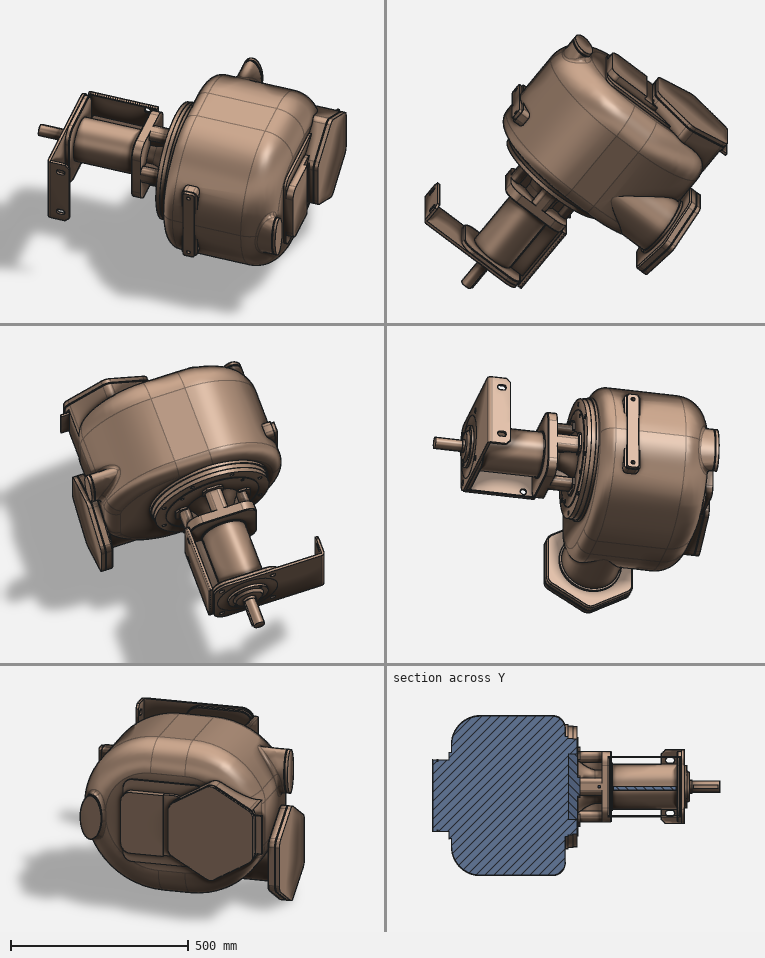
import cadquery as cq
import math


case_front = 435.0
case_rear = 756.5
case_top = 201.0
case_bottom = -251.0
case_side = 298.5
case_top_flat = (-14.0, 87.0)
case_widest_z = -14.0
case_corner = 82.0
front_round = 36.5
rear_round = 82.0
case_mid_z = (case_top + case_bottom) / 2

hex_apothem = 124.5
hex_corner = 26.0
flange_plate = 12.0
joint_gap = 2.5
joint_inset = 3.0
flange_back_chamfer = 4.0
outlet_end = 332.5
outlet_x = 521.0
outlet_z = -165.0
outlet_root = 297.0
outlet_neck_radius = 84.0
outlet_collar = 90.0
outlet_collar_length = 8.0
inlet_end = 809.0
inlet_y = 177.0
inlet_neck_trim = 6.5
inlet_tab_start = 776.0
inlet_tab_thickness = 6.5
inlet_tab_edge = 320.0
inlet_tab_height = 113.0

oval_length = 129.5
oval_width = 61.5
oval_cap = 9.0
oval_blend = 12.0
filler_end = 328.5
filler_z = 79.0
drain_end = 773.0
drain_y = -185.0

cover_size = 181.0
cover_corner = 27.5
cover_y = -2.5
cover_base = 19.5
cover_step = 9.0
cover_step_edge = 31.0

land_height = 7.0
land_y = (-93.0, 146.0)
land_half_z = 122.0

pad_face = -230.5
pad_x = 520.0
pad_z = -17.0
pad_length = 232.0
pad_width = 33.0
pad_skirt_side = 6.5
pad_skirt_end = 2.5
pad_skirt_face = -221.0
pad_hole_spacing = 202.0
pad_hole_radius = 5.25
pad_hole_depth = 16.0

ring_front = 402.0
ring_radius = 170.0
ring_split_x = 414.0
ring_back_radius = 171.5
ring_root_x = 427.0
ring_root_radius = 175.5
ring_bolt_circle = 154.5
ring_bolt_radius = 6.0
ring_bolt_depth = 12.0

adapter_front = 400.0
adapter_radius = 138.0
adapter_depth = 24.0
adapter_bolt_circle = 127.0
adapter_bolt_radius = 5.0
adapter_bolt_depth = 12.0
square_half = 99.5
square_corner = 40.0
front_flange = (108.0, 120.5)
rear_flange = (305.0, 332.5)
barrel_radius = 64.0
barrel_bead = 3.0
flange_edge_chamfer = 2.5
neck_radius = 48.5
neck_flare = 77.0
neck_straight_end = 352.0
strut_width = 48.5
strut_round = 14.0
strut_inner = 69.0
strut_web_width = 23.0
strut_root = 12.0
pilot_radius = 90.0
cap_radius = 60.0
cap_front = 93.0
cap_bolt_circle = 52.5
cap_bolt_radius = 4.0
hub_front = 85.0
hub_radii = (40.0, 45.0)
collar_front = 78.0
collar_radius = 19.0
shaft_radius = 16.0
key_span = (5.0, 74.5)
key_width = 10.0
key_top = 19.5
nipple_x = 340.0
nipple_radius = 4.0
nipple_top = 107.0

foot_thickness = 7.7
foot_half_width = 104.0
foot_bottom = -231.0
foot_front = front_flange[0] - foot_thickness
foot_leg_end = 165.0
foot_bend = 10.5
foot_leg_chamfer = 12.0
foot_slot_x = 140.0
foot_slot_z = 74.5
foot_slot_length = 25.0
foot_slot_width = 16.0
foot_bolt_offset = 76.0
foot_bolt_radius = 7.7

guard_span = (110.0, 315.0)
guard_half_height = 85.0
guard_outer = 112.5
guard_sheet = 6.0
guard_rim = 3.0
guard_rib_clearance = 2.0
guard_rib_thickness = 11.0
guard_rib_z = -5.0
guard_edge_round = 4.0
guard_hole_x = 283.0
guard_hole_z = 65.0
guard_hole_radius = 9.0


def disc(x_start, x_end, radius):
    """Cylinder on the shaft axis."""
    return cq.Workplane("YZ", origin=(x_start, 0, 0)).circle(radius).extrude(x_end - x_start)


def box(x_range, y_range, z_range):
    """Box given by its limits on each axis."""
    size = [high - low for low, high in (x_range, y_range, z_range)]
    low_corner = (x_range[0], y_range[0], z_range[0])
    return cq.Workplane("XY").box(*size, centered=False).translate(low_corner)


def bolt_circle(x_start, x_end, radius, circle_radius, count, first_angle):
    """Cylinders along X, spread evenly around the shaft axis."""
    return (
        cq.Workplane("YZ", origin=(x_start, 0, 0))
        .polarArray(circle_radius, first_angle, 360, count)
        .circle(radius)
        .extrude(x_end - x_start)
    )


def square_plate(x_range):
    """Square flange with rounded corners, centred on the shaft."""
    side = 2 * square_half
    return (
        cq.Workplane("YZ", origin=(x_range[0], 0, 0))
        .rect(side, side)
        .extrude(x_range[1] - x_range[0])
        .edges("|X")
        .fillet(square_corner)
    )


def hex_points(apothem):
    """Corners of a regular hexagon with one corner pointing straight up."""
    radius = apothem / math.cos(math.pi / 6)
    angles = [math.pi / 2 + i * math.pi / 3 for i in range(6)]
    return [(radius * math.cos(a), radius * math.sin(a)) for a in angles]


def hex_prism(plane, apothem, length):
    """Rounded hexagonal prism along the plane's normal."""
    prism = cq.Workplane(plane).polyline(hex_points(apothem)).close().extrude(length)
    side_edges = prism.edges(cq.selectors.ParallelDirSelector(plane.zDir))
    return side_edges.fillet(hex_corner)


def casing_shell():
    left_radius = (case_top - case_bottom) / 2
    left_y = case_top_flat[1]
    corner_y = case_side - case_corner
    corner_rise = math.sqrt((left_radius - case_corner) ** 2 - (corner_y - left_y) ** 2)
    join_angle = math.atan2(corner_rise, corner_y - left_y)

    def left_arc(angle):
        return (left_y + left_radius * math.cos(angle), case_mid_z + left_radius * math.sin(angle))

    def corner_arc(angle):
        rise = math.copysign(corner_rise, angle)
        y = corner_y + case_corner * math.cos(angle)
        return (y, case_mid_z + rise + case_corner * math.sin(angle))

    right_y = case_top_flat[0]
    upper_radius = case_top - case_widest_z
    lower_radius = case_widest_z - case_bottom
    half_root = math.sqrt(0.5)
    right_edge = (right_y - upper_radius, case_widest_z)
    lower_y = right_edge[0] + lower_radius
    upper_mid = (right_y - upper_radius * half_root, case_widest_z + upper_radius * half_root)
    lower_mid = (lower_y - lower_radius * half_root, case_widest_z - lower_radius * half_root)
    half_join = join_angle / 2
    left_mid = (math.pi / 2 + join_angle) / 2

    outline = (
        cq.Workplane("YZ", origin=(case_front, 0, 0))
        .moveTo(right_y, case_top)
        .lineTo(left_y, case_top)
        .threePointArc(left_arc(left_mid), left_arc(join_angle))
        .threePointArc(corner_arc(half_join), (case_side, case_mid_z + corner_rise))
        .lineTo(case_side, case_mid_z - corner_rise)
        .threePointArc(corner_arc(-half_join), left_arc(-join_angle))
        .threePointArc(left_arc(-left_mid), (left_y, case_bottom))
        .lineTo(lower_y, case_bottom)
        .threePointArc(lower_mid, right_edge)
        .threePointArc(upper_mid, (right_y, case_top))
        .close()
    )
    shell = outline.extrude(case_rear - case_front)
    return shell.faces("<X").edges().fillet(front_round).faces(">X").edges().fillet(rear_round)


def front_ring():
    ring = disc(ring_front, ring_split_x, ring_radius)
    ring = ring.union(disc(ring_split_x, ring_root_x, ring_back_radius))
    return ring.union(disc(ring_root_x, case_front + front_round, ring_root_radius))


def outlet_port():
    """Neck and two-plate hexagonal flange facing +Y."""
    def layer(y_start, y_end, apothem):
        plane = cq.Plane(origin=(outlet_x, y_start, outlet_z), xDir=(-1, 0, 0), normal=(0, 1, 0))
        return hex_prism(plane, apothem, y_end - y_start)

    plate_back = outlet_end - flange_plate
    joint_back = plate_back - joint_gap
    neck_start = case_top_flat[1]
    neck_plane = cq.Plane(origin=(outlet_x, neck_start, outlet_z), xDir=(-1, 0, 0), normal=(0, 1, 0))
    collar_plane = cq.Plane(
        origin=(outlet_x, outlet_root - outlet_collar_length, outlet_z),
        xDir=(-1, 0, 0),
        normal=(0, 1, 0),
    )
    port = cq.Workplane(neck_plane).circle(outlet_neck_radius).extrude(outlet_root - neck_start)
    port = port.union(cq.Workplane(collar_plane).circle(outlet_collar).extrude(outlet_collar_length))
    back_plate = layer(outlet_root, joint_back, hex_apothem).faces("<Y").chamfer(flange_back_chamfer)
    port = port.union(back_plate)
    port = port.union(layer(joint_back, plate_back, hex_apothem - joint_inset))
    return port.union(layer(plate_back, outlet_end, hex_apothem))


def inlet_port():
    """Hexagonal neck, side tab and two-plate flange facing +X."""
    def layer(x_start, x_end, apothem):
        plane = cq.Plane(origin=(x_start, inlet_y, case_mid_z), xDir=(0, 1, 0), normal=(1, 0, 0))
        return hex_prism(plane, apothem, x_end - x_start)

    plate_back = inlet_end - flange_plate
    joint_back = plate_back - joint_gap
    tab_end = inlet_tab_start + inlet_tab_thickness
    neck_start = case_rear - rear_round
    half_tab = inlet_tab_height / 2
    half_neck = hex_apothem - inlet_neck_trim
    neck_limits = box(
        (neck_start, tab_end),
        (inlet_y - half_neck, inlet_y + half_neck),
        (case_mid_z - 2 * hex_apothem, case_mid_z + 2 * hex_apothem),
    )
    port = layer(neck_start, tab_end, hex_apothem).intersect(neck_limits)
    port = port.union(layer(tab_end, joint_back, hex_apothem))
    port = port.union(layer(joint_back, plate_back, hex_apothem - joint_inset))
    port = port.union(layer(plate_back, inlet_end, hex_apothem))
    tab = box(
        (inlet_tab_start, tab_end),
        (inlet_y, inlet_tab_edge),
        (case_mid_z - half_tab, case_mid_z + half_tab),
    )
    return port.union(tab)


def oval_port(plane, length):
    """Elliptical neck along the plane's normal with a parting groove below its cap."""
    def layer(start, end, inset):
        return (
            cq.Workplane(plane)
            .workplane(offset=start)
            .ellipse(oval_width / 2 - inset, oval_length / 2 - inset)
            .extrude(end - start)
        )

    cap_start = length - oval_cap
    neck = layer(0, cap_start - joint_gap, 0)
    neck = neck.union(layer(cap_start - joint_gap, cap_start, joint_inset))
    return neck.union(layer(cap_start, length, 0))


def filler_port():
    start = case_top_flat[1]
    plane = cq.Plane(origin=(outlet_x, start, filler_z), xDir=(-1, 0, 0), normal=(0, 1, 0))
    return oval_port(plane, filler_end - start)


def drain_port():
    start = case_rear - 2 * rear_round
    plane = cq.Plane(origin=(start, drain_y, case_mid_z), xDir=(0, 1, 0), normal=(1, 0, 0))
    return oval_port(plane, drain_end - start)


def port_root_selector():
    """Edges where the filler and drain necks leave the shell."""
    half_width = oval_width / 2 + joint_inset
    half_length = oval_length / 2 + joint_inset
    filler_root = cq.selectors.BoxSelector(
        (outlet_x - half_width, case_top_flat[1], filler_z - half_length),
        (outlet_x + half_width, case_side + oval_blend, filler_z + half_length),
        boundingbox=True,
    )
    drain_root = cq.selectors.BoxSelector(
        (case_rear - 2 * rear_round, drain_y - half_width, case_mid_z - half_length),
        (case_rear + joint_inset, drain_y + half_width, case_mid_z + half_length),
        boundingbox=True,
    )
    return filler_root + drain_root


def rear_cover():
    length = cover_base + cover_step
    plate = (
        cq.Workplane("YZ", origin=(case_rear, cover_y, case_mid_z))
        .rect(cover_size, cover_size)
        .extrude(length)
        .edges("|X")
        .fillet(cover_corner)
    )
    step_start = case_rear + cover_base
    cutter = box(
        (step_start, step_start + cover_step),
        (cover_step_edge, cover_y + cover_size),
        (case_mid_z - cover_size, case_mid_z + cover_size),
    )
    return plate.cut(cutter)


def rear_land():
    z_range = (case_mid_z - land_half_z, case_mid_z + land_half_z)
    land = box((case_rear - rear_round, case_rear + land_height), land_y, z_range)
    return land.edges("|X").fillet(cover_corner)


def mounting_pad():
    def bar(face, width, length, corner):
        return (
            cq.Workplane("XZ", origin=(pad_x, 0, pad_z))
            .rect(width, length)
            .extrude(-face)
            .edges("|Y")
            .fillet(corner)
        )

    skirt_width = pad_width + 2 * pad_skirt_side
    skirt_length = pad_length + 2 * pad_skirt_end
    skirt = bar(pad_skirt_face, skirt_width, skirt_length, 2 * pad_skirt_side)
    return bar(pad_face, pad_width, pad_length, pad_skirt_side).union(skirt)


def pad_holes():
    return (
        cq.Workplane("XZ", origin=(pad_x, pad_face + pad_hole_depth, pad_z))
        .rarray(8, pad_hole_spacing, 1, 2)
        .circle(pad_hole_radius)
        .extrude(pad_hole_depth)
    )


def build_casing():
    casing = casing_shell().union(filler_port()).union(drain_port())
    casing = casing.edges(port_root_selector()).fillet(oval_blend)
    features = (front_ring, outlet_port, inlet_port, rear_cover, rear_land, mounting_pad)
    for feature in features:
        casing = casing.union(feature())
    seat = disc(ring_front, ring_front + adapter_depth, adapter_radius)
    bolts = bolt_circle(
        ring_front, ring_front + ring_bolt_depth, ring_bolt_radius, ring_bolt_circle, 8, 22.5
    )
    return casing.cut(seat).cut(bolts).cut(pad_holes())


def shaft_end():
    shaft = disc(0, hub_front, shaft_radius).union(disc(collar_front, hub_front, collar_radius))
    return shaft.union(box(key_span, (0, key_top), (-key_width / 2, key_width / 2)))


def bearing_cap():
    hub = (
        cq.Workplane("YZ", origin=(hub_front, 0, 0))
        .circle(hub_radii[0])
        .workplane(offset=cap_front - hub_front)
        .circle(hub_radii[1])
        .loft()
    )
    cap = disc(cap_front, foot_front, cap_radius)
    bolts = bolt_circle(cap_front, foot_front, cap_bolt_radius, cap_bolt_circle, 4, 45)
    return cap.cut(bolts).union(hub)


def barrel():
    body = disc(front_flange[1], rear_flange[0], barrel_radius)
    bead = disc(rear_flange[0] - barrel_bead, rear_flange[0], barrel_radius + barrel_bead)
    return body.union(bead)


def adapter():
    """Flared neck, four struts and the disc that sits in the casing ring."""
    plate = disc(adapter_front, ring_front + adapter_depth, adapter_radius)
    bolts_end = adapter_front + adapter_bolt_depth
    bolts = bolt_circle(adapter_front, bolts_end, adapter_bolt_radius, adapter_bolt_circle, 4, 45)
    flare_mid = (
        (neck_straight_end + adapter_front) / 2,
        neck_radius + (neck_flare - neck_radius) / 3,
    )
    neck = (
        cq.Workplane("XY")
        .moveTo(rear_flange[1], 0)
        .lineTo(rear_flange[1], neck_radius)
        .lineTo(neck_straight_end, neck_radius)
        .threePointArc(flare_mid, (adapter_front, neck_flare))
        .lineTo(adapter_front, 0)
        .close()
        .revolve(360, (0, 0, 0), (1, 0, 0))
    )
    body = plate.cut(bolts).union(neck)
    half_width = strut_width / 2
    half_web = strut_web_width / 2
    span = (rear_flange[1], adapter_front)
    strut = box(span, (-half_width, half_width), (strut_inner, square_half))
    strut = strut.edges("|X").fillet(strut_round)
    strut = strut.union(box(span, (-half_web, half_web), (0, strut_inner + strut_round)))
    root = (
        box(
            (adapter_front - strut_root / 2, adapter_front),
            (-half_width - strut_root / 2, half_width + strut_root / 2),
            (neck_flare, square_half + strut_root),
        )
        .edges("|X and >Z")
        .chamfer(strut_root)
    )
    for quarter in range(4):
        body = body.union(strut.union(root).rotate((0, 0, 0), (1, 0, 0), 90 * quarter))
    return body


def grease_nipple():
    return (
        cq.Workplane("XZ", origin=(nipple_x, 0, 0))
        .circle(nipple_radius)
        .extrude(-nipple_top)
        .faces(">Y")
        .chamfer(nipple_radius / 2)
    )


def build_frame():
    front_plate = square_plate(front_flange).faces(">X").chamfer(flange_edge_chamfer)
    rear_plate = square_plate(rear_flange).faces("<X").chamfer(flange_edge_chamfer)
    frame = front_plate.union(rear_plate)
    frame = frame.union(disc(foot_front, front_flange[0], pilot_radius))
    for feature in (barrel, adapter, bearing_cap, shaft_end, grease_nipple):
        frame = frame.union(feature())
    return frame


def build_foot():
    width = (-foot_half_width, foot_half_width)
    plate = box((foot_front, front_flange[0]), (foot_bottom, square_half), width)
    plate = plate.edges("|X and >Y").fillet(square_corner)
    leg = box((foot_front, foot_leg_end), (foot_bottom, foot_bottom + foot_thickness), width)
    leg = leg.edges("|Y and >X").chamfer(foot_leg_chamfer)
    foot = plate.union(leg).edges("|Z and <X and <Y").fillet(foot_bend)
    slots = (
        cq.Workplane("XZ", origin=(foot_slot_x, foot_bottom + foot_thickness, 0))
        .rarray(8, 2 * foot_slot_z, 1, 2)
        .slot2D(foot_slot_length, foot_slot_width)
        .extrude(foot_thickness)
    )
    bolt_holes = (
        cq.Workplane("YZ", origin=(foot_front, 0, 0))
        .rarray(2 * foot_bolt_offset, 2 * foot_bolt_offset, 2, 2)
        .circle(foot_bolt_radius)
        .extrude(foot_thickness)
    )
    return foot.cut(slots).cut(bolt_holes).cut(disc(foot_front, front_flange[0], pilot_radius))


def build_guard():
    """Shallow tray resting on both square flanges, with a rib reaching towards the barrel."""
    height = (-guard_half_height, guard_half_height)
    tray = box(guard_span, (square_half, guard_outer), height)
    tray = tray.edges("|X and >Y").fillet(guard_edge_round)
    hollow = box(
        (guard_span[0] + guard_rim, guard_span[1] - guard_rim),
        (square_half, guard_outer - guard_sheet),
        (height[0] + guard_rim, height[1] - guard_rim),
    )
    holes = (
        cq.Workplane("XZ", origin=(guard_hole_x, guard_outer, 0))
        .rarray(8, 2 * guard_hole_z, 1, 2)
        .circle(guard_hole_radius)
        .extrude(guard_outer - square_half)
    )
    rib = box(
        (front_flange[1] + guard_rib_clearance, rear_flange[0] - barrel_bead - guard_rib_clearance),
        (barrel_radius + guard_rib_clearance, guard_outer - guard_sheet),
        (guard_rib_z - guard_rib_thickness / 2, guard_rib_z + guard_rib_thickness / 2),
    )
    return tray.cut(hollow).cut(holes).union(rib)


casing = build_casing().solids()
frame = build_frame().solids()
foot = build_foot().solids()
guard = build_guard().solids()

result = cq.Compound.makeCompound([casing.val(), frame.val(), foot.val(), guard.val()])